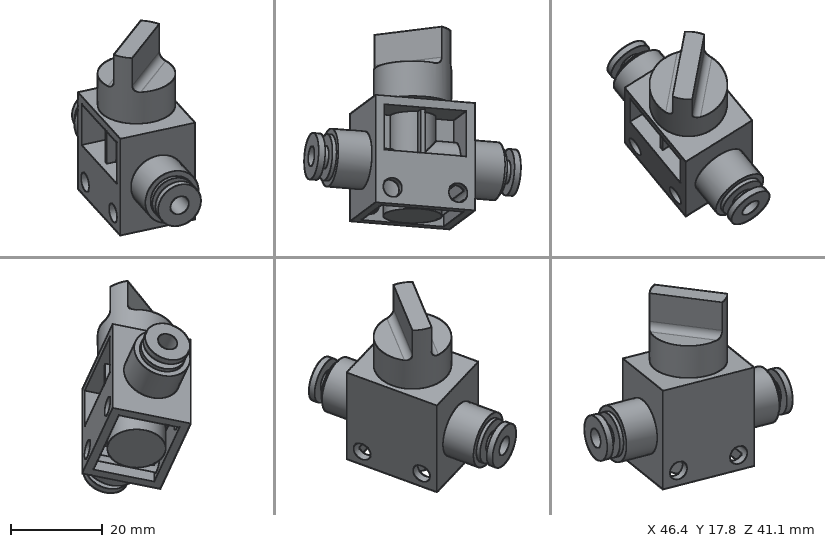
import cadquery as cq

body_length = 22.8
body_depth = 17.8
body_height = 24.1

overall_length = 46.35
port_height = 11.55
barrel_radius = 6.35
barrel_end = 19.1
collar_radius = 5.1
collar_end = 20.02
neck_radius = 2.55
flange_thickness = 1.5
bore_radius = 2.2

window_length = 18.8
window_floor = 11.95
window_top = 22.15
housing_radius = 5.1
small_pipe_radius = 2.6
rib_thickness = 0.97
rib_setback = 1.65

mount_radius = 2.15
mount_offset = 7.5
mount_height = 3.65
core_radius = 6.35
pocket_wall = 2.0
pocket_height = 7.4

overall_height = 41.05
stem_radius = 5.95
knob_bottom = 24.75
knob_radius = 8.5
knob_shoulder = 32.6
grip_thickness = 4.3
grip_fillet = 1.65
grip_angle = -45


def z_cylinder(radius, bottom, top):
    return cq.Workplane("XY").workplane(offset=bottom).circle(radius).extrude(top - bottom)


def x_cylinder(radius, start, end, height):
    return cq.Workplane("YZ", origin=(start, 0, height)).circle(radius).extrude(end - start)


def make_fitting(side):
    """Stepped fitting; side is -1 or 1 along X."""
    tip = overall_length / 2
    steps = (
        (barrel_radius, body_length / 2, barrel_end),
        (collar_radius, barrel_end, collar_end),
        (neck_radius, collar_end, tip - flange_thickness),
        (collar_radius, tip - flange_thickness, tip),
    )
    fitting = x_cylinder(steps[0][0], side * steps[0][1], side * steps[0][2], port_height)
    for radius, start, end in steps[1:]:
        fitting = fitting.union(x_cylinder(radius, side * start, side * end, port_height))
    return fitting


def make_window_cut():
    """Recess from the front face to the mid plane, leaving the housing, pipes and rib."""
    half_length = window_length / 2
    half_depth = body_depth / 2
    height = window_top - window_floor
    recess = cq.Workplane("XY", origin=(0, -half_depth / 2, window_floor)).box(
        window_length, half_depth, height, centered=(True, True, False)
    )
    rib_depth = half_depth - rib_setback
    rib = cq.Workplane("XY", origin=(0, -rib_depth / 2, window_floor)).box(
        rib_thickness, rib_depth, height, centered=(True, True, False)
    )
    return (
        recess.cut(z_cylinder(housing_radius, window_floor, window_top))
        .cut(x_cylinder(small_pipe_radius, -half_length, 0, window_floor))
        .cut(x_cylinder(housing_radius, 0, half_length, window_floor))
        .cut(rib)
    )


def make_lower_cut():
    """Pocket open at the bottom and two crossing holes along Y, all kept clear of the core."""
    pocket = cq.Workplane("XY").box(
        body_length - 2 * pocket_wall,
        body_depth - 2 * pocket_wall,
        pocket_height,
        centered=(True, True, False),
    )
    holes = (
        cq.Workplane("XZ", origin=(0, 0, mount_height))
        .pushPoints([(-mount_offset, 0), (mount_offset, 0)])
        .circle(mount_radius)
        .extrude(body_depth / 2, both=True)
    )
    core = z_cylinder(core_radius, 0, pocket_height)
    return pocket.union(holes).cut(core)


def make_knob():
    """Round knob with a flat grip blended into its shoulder."""
    knob = z_cylinder(knob_radius, knob_bottom, overall_height)
    half_grip = grip_thickness / 2
    for side in (-1, 1):
        side_cut = (
            cq.Workplane("YZ")
            .moveTo(side * half_grip, overall_height)
            .lineTo(side * half_grip, knob_shoulder + grip_fillet)
            .radiusArc((side * (half_grip + grip_fillet), knob_shoulder), -side * grip_fillet)
            .lineTo(side * 2 * knob_radius, knob_shoulder)
            .lineTo(side * 2 * knob_radius, overall_height)
            .close()
            .extrude(2 * knob_radius, both=True)
        )
        knob = knob.cut(side_cut)
    return knob.rotate((0, 0, 0), (0, 0, 1), grip_angle)


body = cq.Workplane("XY").box(body_length, body_depth, body_height, centered=(True, True, False))
body = body.cut(make_window_cut()).cut(make_lower_cut())

for end_side in (-1, 1):
    body = body.union(make_fitting(end_side))

bore = x_cylinder(bore_radius, -overall_length / 2, overall_length / 2, port_height)
stem = z_cylinder(stem_radius, body_height, knob_bottom)
result = body.cut(bore).union(stem).union(make_knob())